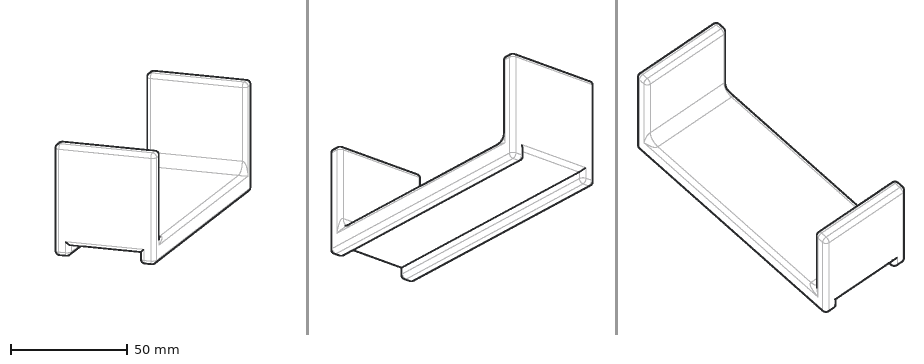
import cadquery as cq

length = 124.0
width = 46.0
height = 50.0

wall = 7.0
floor = 10.0
inner_radius = 5.0
edge_radius = 2.0

channel_width = 32.0
channel_depth = 5.0

pick_margin = 0.1


def sharp_bracket():
    """Floor with an upright wall at each end and a channel along the underside."""
    upright = (True, True, False)
    block = cq.Workplane("XY").box(width, length, height, centered=upright)
    opening = (
        cq.Workplane("XY")
        .workplane(offset=floor)
        .box(width, length - 2 * wall, height, centered=upright)
    )
    channel = cq.Workplane("XY").box(channel_width, length, channel_depth, centered=upright)
    return block.cut(opening).cut(channel)


def near(x, y, z):
    """Selector for edges centred close to a point."""
    return cq.selectors.BoxSelector(
        (x - pick_margin, y - pick_margin, z - pick_margin),
        (x + pick_margin, y + pick_margin, z + pick_margin),
    )


inner_wall_y = length / 2 - wall
wall_corners = near(0, -inner_wall_y, floor) + near(0, inner_wall_y, floor)
channel_corners = near(-channel_width / 2, 0, channel_depth) + near(channel_width / 2, 0, channel_depth)

bracket = sharp_bracket()
bracket = bracket.edges(cq.selectors.SubtractSelector(
    cq.selectors.BoxSelector((-width, -length, -height), (width, length, 2 * height)),
    wall_corners + channel_corners,
)).fillet(edge_radius)

result = bracket.edges(wall_corners).fillet(inner_radius)